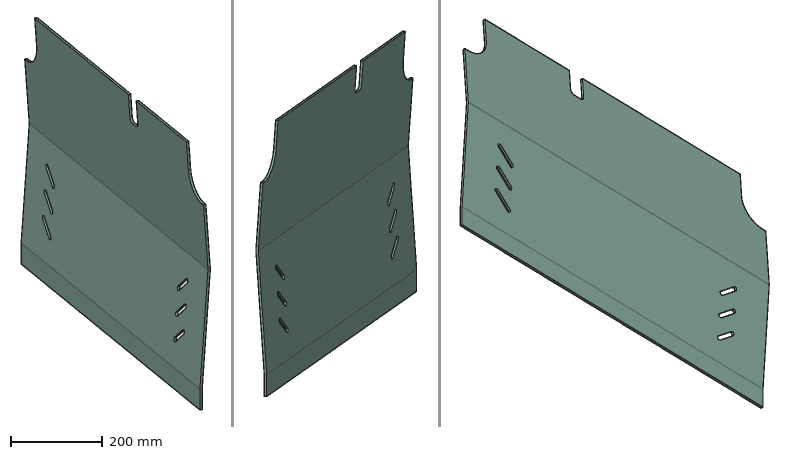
import cadquery as cq
import math

width = 925.0
thickness = 6.0
tilt = 4.0
panel_length = 280.0
lip_height = 50.0

corner_width = 70.0
corner_depth = 125.0
corner_radius = 60.0

notch_center_x = 112.5
notch_width = 40.0
notch_depth = 65.0
notch_radius = 10.0

slot_length = 60.0
slot_width = 10.0
slot_angle = 40.0
slot_center_x = 342.5
slot_pitch = 60.0
slot_count = 3

half_width = width / 2
run = panel_length * math.sin(math.radians(tilt))
rise = panel_length * math.cos(math.radians(tilt))
slot_group_drop = rise / 2
normal_y = thickness * math.cos(math.radians(tilt))
normal_z = thickness * math.sin(math.radians(tilt))
cut_depth = 4 * thickness


def panel_plane(lean):
    """Plane on a front face through the main fold line: local x is X, local y runs up the panel."""
    lean_angle = math.radians(lean)
    return cq.Plane(
        origin=(0, 0, 0),
        xDir=(1, 0, 0),
        normal=(0, -math.cos(lean_angle), -math.sin(lean_angle)),
    )


def through_cutter(sketch):
    """Extrude a profile to both sides of its plane so that it passes through the sheet."""
    return sketch.extrude(cut_depth / 2, both=True)


def bent_sheet():
    """Side profile in YZ: sharp main fold at the origin in front, narrow flat behind it."""
    lip_back_y = thickness - run
    back_fold_z = -rise - thickness * math.tan(math.radians(tilt / 2))
    return (
        cq.Workplane("YZ")
        .moveTo(0, 0)
        .lineTo(-run, rise)
        .lineTo(-run + normal_y, rise + normal_z)
        .lineTo(normal_y, normal_z)
        .lineTo(normal_y, -normal_z)
        .lineTo(lip_back_y, back_fold_z)
        .lineTo(lip_back_y, -rise - lip_height)
        .lineTo(-run, -rise - lip_height)
        .lineTo(-run, -rise)
        .close()
        .extrude(half_width, both=True)
    )


def corner_cutter(side):
    """Rectangular bite with a rounded inner corner; side is -1 for left, +1 for right."""
    center_x = side * (half_width - corner_width / 2)
    inner_x = half_width - corner_width
    bite = through_cutter(
        cq.Workplane(panel_plane(tilt))
        .center(center_x, panel_length - corner_depth / 2)
        .rect(corner_width, corner_depth)
    )
    bottom_y = panel_length - corner_depth
    arc_offset = corner_radius * (1 - math.sqrt(0.5))
    corner_fill = through_cutter(
        cq.Workplane(panel_plane(tilt))
        .moveTo(side * inner_x, bottom_y)
        .lineTo(side * inner_x, bottom_y + corner_radius)
        .threePointArc(
            (side * (inner_x + arc_offset), bottom_y + arc_offset),
            (side * (inner_x + corner_radius), bottom_y),
        )
        .close()
    )
    return bite.cut(corner_fill)


def notch_cutter():
    """Open notch with rounded bottom corners, extended past the top edge."""
    overshoot = 2 * notch_radius
    height = notch_depth + overshoot
    center_y = panel_length + overshoot - height / 2
    return through_cutter(
        cq.Workplane(panel_plane(tilt))
        .center(notch_center_x, center_y)
        .sketch()
        .rect(notch_width, height)
        .vertices()
        .fillet(notch_radius)
        .finalize()
    )


def slot_cutter(side):
    """Column of slots halfway down the middle panel, their outer ends raised."""
    first_offset = -slot_pitch * (slot_count - 1) / 2
    centers = [
        (side * slot_center_x, -slot_group_drop + first_offset + index * slot_pitch)
        for index in range(slot_count)
    ]
    return through_cutter(
        cq.Workplane(panel_plane(-tilt))
        .pushPoints(centers)
        .slot2D(slot_length, slot_width, side * slot_angle)
    )


result = bent_sheet().cut(notch_cutter())
for side in (-1, 1):
    result = result.cut(corner_cutter(side))
    result = result.cut(slot_cutter(side))